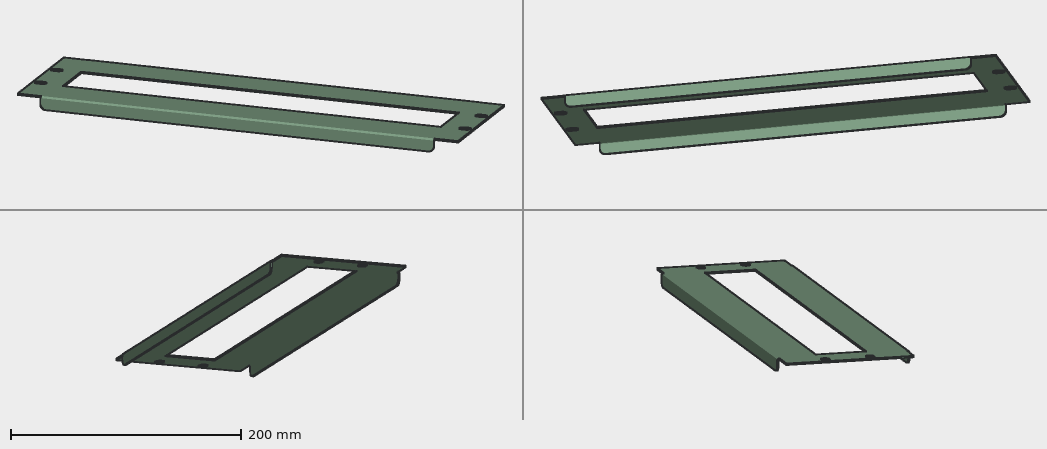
import cadquery as cq

plate_length = 408.5
overall_width = 120.0
overall_height = 12.0
thickness = 1.5

bend_inner_radius = 0.9
bend_outer_radius = bend_inner_radius + thickness
flange_length = 365.0
flange_corner_radius = 5.5
plate_width = overall_width - 2 * bend_outer_radius

window_length = 350.5
window_width = 45.8
slot_length = 10.5
slot_width = 7.0
slot_spacing_x = 393.8
slot_spacing_y = 40.5


def make_plate():
    """Flat panel with a central window and a mounting slot near each corner."""
    plate = cq.Workplane("XY").box(
        plate_length, plate_width, thickness, centered=(True, True, False)
    ).translate((0, 0, -thickness))
    window = cq.Workplane("XY").rect(window_length, window_width).extrude(-thickness)
    slots = (
        cq.Workplane("XY")
        .rarray(slot_spacing_x, slot_spacing_y, 2, 2)
        .slot2D(slot_length, slot_width)
        .extrude(-thickness)
    )
    return plate.cut(window).cut(slots)


def make_flange():
    """Bent lip on the +Y edge, with rounded lower corners."""
    bend_start = plate_width / 2
    outer_face = overall_width / 2
    inner_face = outer_face - thickness
    flange = (
        cq.Workplane("YZ")
        .moveTo(bend_start, 0)
        .radiusArc((outer_face, -bend_outer_radius), bend_outer_radius)
        .lineTo(outer_face, -overall_height)
        .lineTo(inner_face, -overall_height)
        .lineTo(inner_face, -bend_outer_radius)
        .radiusArc((bend_start, -thickness), -bend_inner_radius)
        .close()
        .extrude(flange_length / 2, both=True)
    )
    lower_end_edges = cq.selectors.BoxSelector(
        (-flange_length, inner_face - thickness, -overall_height - thickness),
        (flange_length, outer_face + thickness, -overall_height + thickness),
    )
    return flange.edges("|Y").edges(lower_end_edges).fillet(flange_corner_radius)


flange = make_flange()
result = make_plate().union(flange).union(flange.mirror("XZ"))